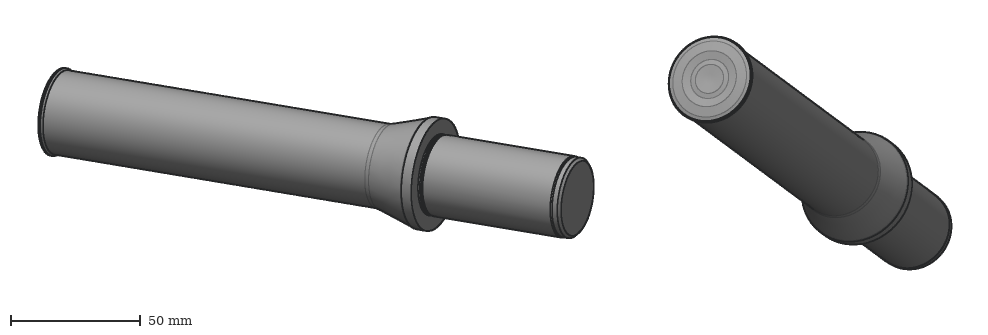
import cadquery as cq
import math

LENGTH = 223.0
START = -LENGTH / 2

HEAD_RADIUS = 17.2
HEAD_LENGTH = 2.0
FACE_RADIUS = 15.2
FACE_EDGE_DROP = 0.5
BEVEL_RADIUS = 16.7
BEVEL_END = 1.0
RIM_END = 1.3
RIDGE_RADIUS = 11.2
GROOVE_RADIUS = 7.8
INNER_RIDGE_RADIUS = 5.8
CENTRE_DEPTH = 0.7
GROOVE_DEPTH = 0.5
INNER_RIDGE_DEPTH = 0.2

BODY_RADIUS = 33.0 / 2
HEAD_TAPER_LENGTH = 1.0
CONE_START = 141.0
NECK_FILLET_TANGENT = 1.0

SEARCH_MARGIN = 0.2

FLANGE_RADIUS = 44.0 / 2
CONE_END = 157.7
FLANGE_FRONT = 158.3
FLANGE_BACK = 162.5
CONE_END_RADIUS = 21.6

SHANK_RADIUS = 32.0 / 2
RELIEF_RADIUS = 31.5 / 2
RELIEF_LENGTH = 1.3
RELIEF_TAPER = 0.7
RELIEF_STEP = 0.7
BAND_START = 219.0
BAND_TAPER = 0.7
END_CHAMFER = 1.1


def revolve_profile(points):
    """Revolve (axial position from the front, radius) points about the X axis."""
    shifted = [(START + position, radius) for position, radius in points]
    return cq.Workplane("XY").polyline(shifted).close().revolve(360, (0, 0, 0), (1, 0, 0))


def make_cutting_head():
    return revolve_profile([
        (CENTRE_DEPTH, 0),
        (INNER_RIDGE_DEPTH, INNER_RIDGE_RADIUS),
        (GROOVE_DEPTH, GROOVE_RADIUS),
        (0, RIDGE_RADIUS),
        (FACE_EDGE_DROP, FACE_RADIUS),
        (BEVEL_END, BEVEL_RADIUS),
        (RIM_END, HEAD_RADIUS),
        (HEAD_LENGTH, HEAD_RADIUS),
        (HEAD_LENGTH, 0),
    ])


def make_holder():
    cone_angle = math.atan2(CONE_END_RADIUS - BODY_RADIUS, CONE_END - CONE_START)
    fillet_radius = NECK_FILLET_TANGENT / math.tan(cone_angle / 2)
    relief_end = FLANGE_BACK + RELIEF_LENGTH
    blank = revolve_profile([
        (HEAD_LENGTH, 0),
        (HEAD_LENGTH, HEAD_RADIUS),
        (HEAD_LENGTH + HEAD_TAPER_LENGTH, BODY_RADIUS),
        (CONE_START, BODY_RADIUS),
        (CONE_END, CONE_END_RADIUS),
        (FLANGE_FRONT, FLANGE_RADIUS),
        (FLANGE_BACK, FLANGE_RADIUS),
        (FLANGE_BACK, SHANK_RADIUS),
        (FLANGE_BACK + RELIEF_STEP, RELIEF_RADIUS),
        (relief_end, RELIEF_RADIUS),
        (relief_end + RELIEF_TAPER, SHANK_RADIUS),
        (BAND_START, SHANK_RADIUS),
        (BAND_START + BAND_TAPER, RELIEF_RADIUS),
        (LENGTH - END_CHAMFER, RELIEF_RADIUS),
        (LENGTH, RELIEF_RADIUS - END_CHAMFER),
        (LENGTH, 0),
    ])
    neck_edge = cq.selectors.BoxSelector(
        (START + CONE_START - SEARCH_MARGIN, -FLANGE_RADIUS, -FLANGE_RADIUS),
        (START + CONE_START + SEARCH_MARGIN, FLANGE_RADIUS, FLANGE_RADIUS),
    )
    return blank.edges("%CIRCLE").edges(neck_edge).fillet(fillet_radius)


cutting_head = make_cutting_head()
holder = make_holder()
result = cq.Compound.makeCompound([cutting_head.val(), holder.val()])